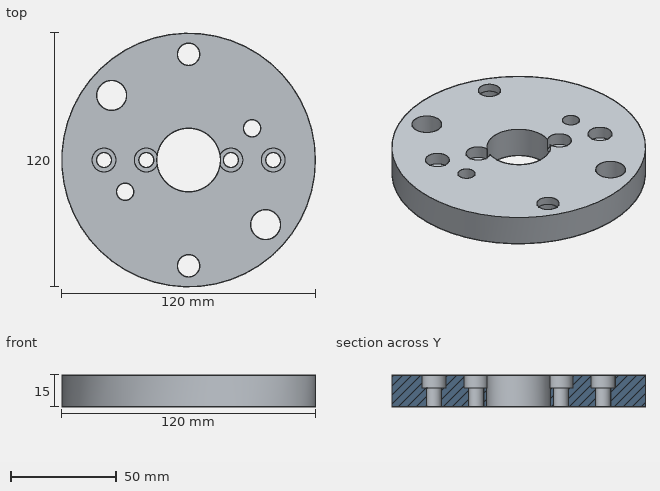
import cadquery as cq
import math

plate_diameter = 120.0
plate_thickness = plate_diameter / 8
bore_diameter = plate_diameter / 4

screw_spacing = plate_diameter / 6
screw_diameter = 7.0
counterbore_diameter = 11.3
counterbore_depth = 6.0

edge_hole_diameter = 10.5
edge_hole_radius = 2.5 * screw_spacing
edge_recess_diameter = 17.5
edge_recess_roof = 4.0

dowel_diameter = 8.0
dowel_x = plate_diameter / 4
dowel_y = plate_diameter / 8
large_hole_diameter = 14.0
large_hole_radius = 47.5
large_hole_angle = math.radians(140)


def opposite_pair(x, y):
    """Return a point and its image turned half a turn about the centre."""
    return [(x, y), (-x, -y)]


def top_points(body, points):
    """Place points on the top face, measured from the plate centre."""
    return body.faces(">Z").workplane(origin=(0, 0, 0)).pushPoints(points)


def drill(body, points, diameter):
    """Cut through holes at the given points."""
    return top_points(body, points).hole(diameter)


edge_points = opposite_pair(0, edge_hole_radius)
large_hole_points = opposite_pair(
    large_hole_radius * math.cos(large_hole_angle),
    large_hole_radius * math.sin(large_hole_angle),
)
screw_points = opposite_pair(screw_spacing, 0) + opposite_pair(2 * screw_spacing, 0)

result = cq.Workplane("XY").circle(plate_diameter / 2).extrude(plate_thickness)
result = drill(result, [(0, 0)], bore_diameter)
result = drill(result, edge_points, edge_hole_diameter)
result = drill(result, opposite_pair(dowel_x, dowel_y), dowel_diameter)
result = drill(result, large_hole_points, large_hole_diameter)

result = top_points(result, screw_points).cboreHole(
    screw_diameter, counterbore_diameter, counterbore_depth
)

edge_recesses = (
    cq.Workplane("XY")
    .pushPoints(edge_points)
    .circle(edge_recess_diameter / 2)
    .extrude(plate_thickness - edge_recess_roof)
)
result = result.cut(edge_recesses)